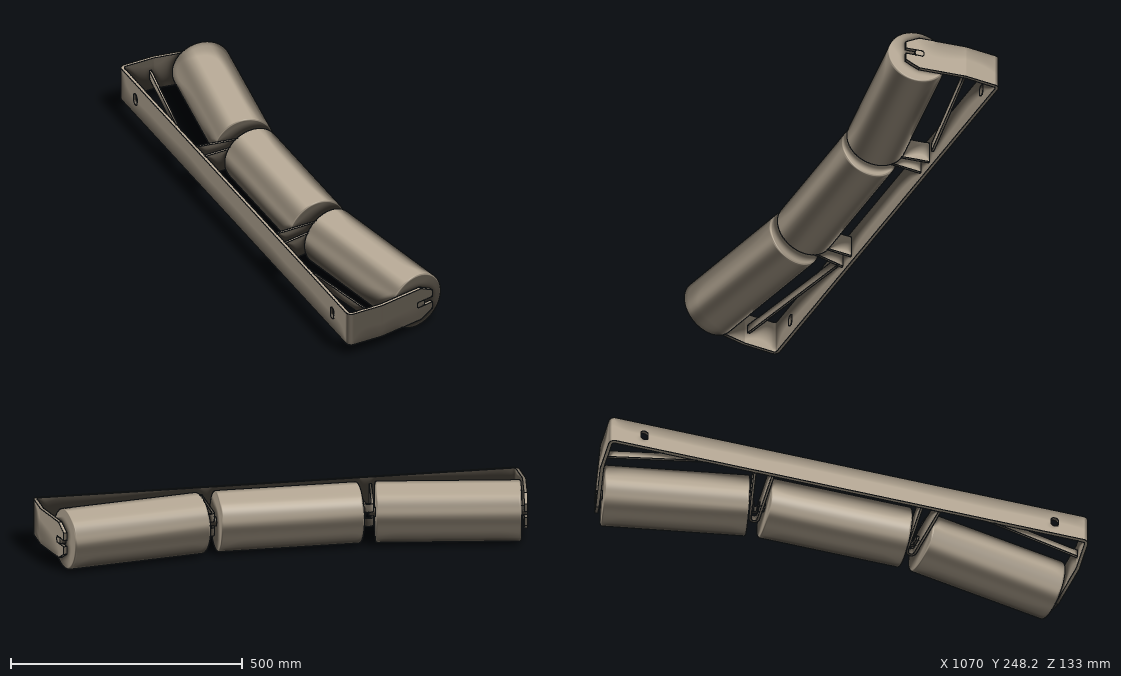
import cadquery as cq
import math

FRAME_LENGTH = 1070.0
BAND_HEIGHT = 80.0
BAND_THICKNESS = 7.0
CORNER_RADIUS = 13.0
BEND_Y = 82.0
TILT = 10.0
END_TIP_Y = 216.0
TIP_TAPER_LENGTH = 30.0
TIP_TAPER_DEPTH = 16.0

MOUNT_SLOT_WIDTH = 16.0
MOUNT_SLOT_HEIGHT = 28.0
MOUNT_SLOT_INSET = 77.0

ROLLER_DIAMETER = 133.0
ROLLER_LENGTH = 315.0
ROLLER_ROUNDING = 4.0
END_GAP = 6.0
SHAFT_DIAMETER = 20.0
SHAFT_FLAT_WIDTH = 14.0
MIDDLE_ROLLER_Y = 125.0
SIDE_ROLLER_Y = 156.0

BRACKET_HEIGHT = 50.0
BRACKET_THICKNESS = 5.0
BRACKET_TOP_Y = 152.0
BRACKET_ROUND_RADIUS = 12.0

STRUT_HEIGHT = 20.0
STRUT_THICKNESS = 5.0
STRUT_ANGLE = 12.0
STRUT_TOE_X = 229.0
STRUT_TOE_SINK = 0.5

COS_TILT = math.cos(math.radians(TILT))
SIN_TILT = math.sin(math.radians(TILT))
TAN_TILT = math.tan(math.radians(TILT))

HALF_LENGTH = FRAME_LENGTH / 2
INNER_HALF_LENGTH = HALF_LENGTH - BAND_THICKNESS
SHAFT_HALF_LENGTH = ROLLER_LENGTH / 2 + END_GAP + BAND_THICKNESS

BRACKET_FACE_X = ROLLER_LENGTH / 2 + END_GAP
ROUND_X = BRACKET_FACE_X + BRACKET_ROUND_RADIUS
ROUND_Y = BRACKET_TOP_Y - BRACKET_ROUND_RADIUS

SIDE_ROLLER_X = HALF_LENGTH - (SHAFT_HALF_LENGTH + (SIDE_ROLLER_Y - BEND_Y) * SIN_TILT) / COS_TILT

INNER_BEND_Y = BEND_Y - BAND_THICKNESS * math.tan(math.radians(TILT / 2))


def mirrored_pair(right_half):
    """The right-hand solid together with its mirror image."""
    return right_half.union(right_half.mirror("YZ"))


def slab(outline, height):
    """An outline in the XY plane, extruded to a height centred on z = 0."""
    return outline.extrude(height / 2, both=True)


def make_band():
    """The bent strip with tapered tips and mounting slots."""
    tip_x = HALF_LENGTH - (END_TIP_Y - BEND_Y) * TAN_TILT
    inner_tip_x = tip_x - BAND_THICKNESS * COS_TILT
    inner_tip_y = END_TIP_Y - BAND_THICKNESS * SIN_TILT
    outline = (
        cq.Workplane("XY")
        .moveTo(0, 0)
        .lineTo(HALF_LENGTH, 0)
        .lineTo(HALF_LENGTH, BEND_Y)
        .lineTo(tip_x, END_TIP_Y)
        .lineTo(inner_tip_x, inner_tip_y)
        .lineTo(INNER_HALF_LENGTH, INNER_BEND_Y)
        .lineTo(INNER_HALF_LENGTH, BAND_THICKNESS)
        .lineTo(0, BAND_THICKNESS)
        .close()
    )
    half = slab(outline, BAND_HEIGHT)
    inner_radius = CORNER_RADIUS - BAND_THICKNESS
    bends = [
        (HALF_LENGTH, 0, CORNER_RADIUS),
        (INNER_HALF_LENGTH, BAND_THICKNESS, inner_radius),
        (HALF_LENGTH, BEND_Y, CORNER_RADIUS),
        (INNER_HALF_LENGTH, INNER_BEND_Y, inner_radius),
    ]
    for x, y, radius in bends:
        half = half.edges(cq.selectors.NearestToPointSelector((x, y, 0))).fillet(radius)
    half = half.cut(make_tip_tapers(tip_x))
    return mirrored_pair(half.cut(make_mount_slot()))


def make_tip_tapers(tip_x):
    """Two wedges that narrow the free end of the band."""
    tip_plane = cq.Plane(
        origin=(tip_x, END_TIP_Y, 0),
        xDir=(SIN_TILT, -COS_TILT, 0),
        normal=(COS_TILT, SIN_TILT, 0),
    )
    edge = BAND_HEIGHT / 2
    wedges = cq.Workplane(tip_plane)
    for side in (-1, 1):
        wedges = wedges.polyline(
            [(0, side * edge), (TIP_TAPER_LENGTH, side * edge), (0, side * (edge - TIP_TAPER_DEPTH))]
        ).close()
    return wedges.extrude(2 * BAND_THICKNESS, both=True)


def make_mount_slot():
    """Cutter for the right-hand mounting slot, longer along Z."""
    return (
        cq.Workplane("XZ")
        .center(HALF_LENGTH - MOUNT_SLOT_INSET, 0)
        .slot2D(MOUNT_SLOT_HEIGHT, MOUNT_SLOT_WIDTH, 90)
        .extrude(-BAND_THICKNESS)
    )


def make_bracket():
    """The right-hand bracket: an upright leg, a rounded top and a slanted leg."""
    foot_y = BAND_THICKNESS
    middle_angle = math.radians((180 + TILT) / 2)
    inner_radius = BRACKET_ROUND_RADIUS - BRACKET_THICKNESS

    def on_round(radius, angle):
        return (ROUND_X + radius * math.cos(angle), ROUND_Y + radius * math.sin(angle))

    def slanted_foot(radius):
        return (ROUND_X + (radius + (ROUND_Y - foot_y) * SIN_TILT) / COS_TILT, foot_y)

    slant_angle = math.radians(TILT)
    outline = (
        cq.Workplane("XY")
        .moveTo(BRACKET_FACE_X, foot_y)
        .lineTo(BRACKET_FACE_X, ROUND_Y)
        .threePointArc(
            on_round(BRACKET_ROUND_RADIUS, middle_angle),
            on_round(BRACKET_ROUND_RADIUS, slant_angle),
        )
        .lineTo(*slanted_foot(BRACKET_ROUND_RADIUS))
        .lineTo(*slanted_foot(inner_radius))
        .lineTo(*on_round(inner_radius, slant_angle))
        .threePointArc(
            on_round(inner_radius, middle_angle),
            on_round(inner_radius, math.pi),
        )
        .lineTo(BRACKET_FACE_X + BRACKET_THICKNESS, foot_y)
        .close()
    )
    return slab(outline, BRACKET_HEIGHT)


def make_strut():
    """The right-hand strut, from the band's end down to its back."""
    angle = math.radians(STRUT_ANGLE)
    toe_y = BAND_THICKNESS - STRUT_TOE_SINK
    toe_top_x = STRUT_TOE_X - STRUT_THICKNESS * math.sin(angle)
    toe_top_y = toe_y + STRUT_THICKNESS * math.cos(angle)
    end_y = toe_y + (INNER_HALF_LENGTH - STRUT_TOE_X) * math.tan(angle)
    outline = cq.Workplane("XY").polyline(
        [
            (STRUT_TOE_X, toe_y),
            (INNER_HALF_LENGTH, end_y),
            (INNER_HALF_LENGTH, end_y + STRUT_THICKNESS / math.cos(angle)),
            (toe_top_x, toe_top_y),
        ]
    )
    return slab(outline.close(), STRUT_HEIGHT)


def rod(diameter, half_length):
    """A round rod on the X axis, centred on the origin."""
    return cq.Workplane("YZ", origin=(-half_length, 0, 0)).circle(diameter / 2).extrude(2 * half_length)


def flatted_rod(half_length):
    """A rod of the shaft's diameter with flats facing up and down."""
    between_flats = cq.Workplane("XY").box(2 * half_length, SHAFT_DIAMETER, SHAFT_FLAT_WIDTH)
    return rod(SHAFT_DIAMETER, half_length).intersect(between_flats)


def make_roller():
    """A roller on the X axis, with a shaft whose ends are flatted beyond END_GAP."""
    barrel = rod(ROLLER_DIAMETER, ROLLER_LENGTH / 2).faces("<X or >X").edges().fillet(ROLLER_ROUNDING)
    round_shaft = rod(SHAFT_DIAMETER, ROLLER_LENGTH / 2 + END_GAP)
    return barrel.union(round_shaft).union(flatted_rod(SHAFT_HALF_LENGTH))


def make_shaft_seats():
    """Cutter for the seats of one roller: the flatted shaft, open towards +Y."""
    cutter_half_length = SHAFT_HALF_LENGTH + BAND_THICKNESS / 2
    opening_depth = END_TIP_Y - BEND_Y
    opening = cq.Workplane("XY").box(
        2 * cutter_half_length, opening_depth, SHAFT_FLAT_WIDTH, centered=(True, False, True)
    )
    return flatted_rod(cutter_half_length).union(opening)


def at_roller_places(shape):
    """Copies of a shape at the left, middle and right roller."""
    places = [
        (-SIDE_ROLLER_X, SIDE_ROLLER_Y, -TILT),
        (0, MIDDLE_ROLLER_Y, 0),
        (SIDE_ROLLER_X, SIDE_ROLLER_Y, TILT),
    ]
    return [
        shape.rotate((0, 0, 0), (0, 0, 1), angle).translate((x, y, 0)) for x, y, angle in places
    ]


def make_frame():
    """The welded frame: band, brackets and struts, with open seats for the shafts."""
    frame = make_band()
    frame = frame.union(mirrored_pair(make_bracket()))
    frame = frame.union(mirrored_pair(make_strut()))
    for seats in at_roller_places(make_shaft_seats()):
        frame = frame.cut(seats)
    return frame


frame = make_frame()
rollers = at_roller_places(make_roller())

result = cq.Compound.makeCompound([frame.val(), *[roller.val() for roller in rollers]])